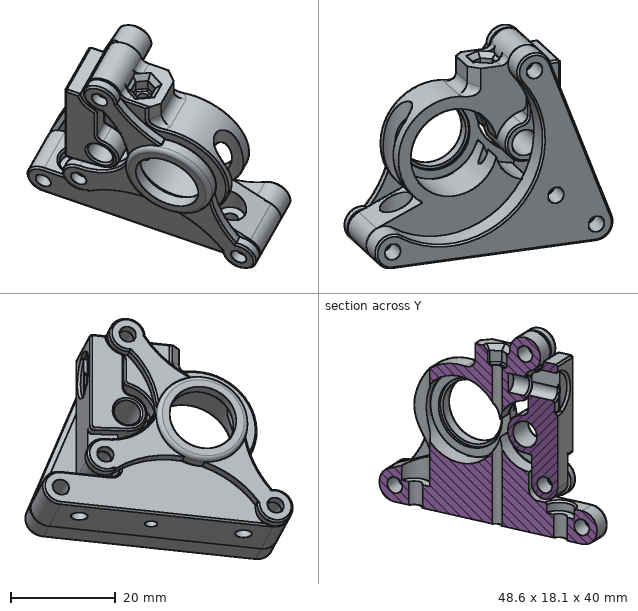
import cadquery as cq
import math

plate_thickness = 5.0
housing_depth = 10.05
arm_thickness = 2.0
collar_height = 1.0
arm_front = housing_depth + arm_thickness
edge_chamfer = 0.4

left_screw = (0, 0)
right_screw = (41.6, 0)
top_screw = (12.6, 33.0)
lever_pivot = (8.25, 7.0)
boss_diameter = 6.95
boss_radius = boss_diameter / 2
screw_hole = 3.2

shaft_axis = (27.15, 16.5)
idler_axis = (12.6, 16.5)

plate_bevel = 1.0
opening_radius = 18.75

ring_radius = 11.35
chamber_radius = 8.85
lever_wall_x = 11.7
lever_wall_fillet = 1.95
slope_angle = 23.0
slope_top_x = 33.0
block_left = 12.45
block_right = 23.7
block_top = 32.9
block_bevel = 2.05
block_fillet = 1.95
block_corner_round = 0.95
boss_neck_fillet = 1.7
boss_top_fillet = 1.7
clearance_center = (11.5, 16.2)
clearance_radius = 7.25

vertical_hole_y = -5.5
mount_hole_inset = 4.7
mount_counterbore = 6.2
counterbore_floor = 1.4
filament_x = 18.8
filament_hole = 2.4
nut_flats = 4.05
nut_mouth_flats = 6.15
nut_floor_flats = 3.35
nut_depth = 3.4

lever_left = 5.3
lever_right = 11.95
lever_top = 32.35
lever_back = 0.15
lever_step = 9.8
lever_corner_z = 12.0
lever_corner_round = 0.9
idler_lobe_radius = 3.9
idler_hole = 5.2
pivot_lobe_radius = 2.95
boss_clearance_radius = 4.2
lever_fillet = 1.45
lever_nose_round = 0.75

thumb_z = 26.35
thumb_y = -(lever_back + arm_front) / 2
thumb_recess = 8.2
thumb_recess_depth = 0.5
thumb_slot_width = 2.95
thumb_groove_depth = 0.2
spring_hole = 3.85
spring_hole_depth = 3.9

collar_radius = 8.95
collar_bore = 13.0
collar_round = 0.9
bearing_seat = 14.2
bearing_seat_depth = 0.7

arm_inner_corner = (18.45, 17.65)
collar_right = (35.8, 14.2)
collar_upper = (25.35, 25.35)
right_boss_left = (38.2, 0.5)
right_boss_upper = (41.15, 3.15)
top_boss_right = (16.05, 33.2)
top_boss_lower = (12.9, 29.7)
arm_bottom_angle = -58
outer_arm_radius = 21.85
lower_arm_radius = 19.9
top_arm_radius = 17.5


def offset(point, dx, dz):
    return (point[0] + dx, point[1] + dz)


def polar(center, radius, degrees):
    angle = math.radians(degrees)
    return offset(center, radius * math.cos(angle), radius * math.sin(angle))


def toward(start, end, distance):
    """Point at a distance from start on the line to end."""
    share = distance / math.dist(start, end)
    return offset(start, share * (end[0] - start[0]), share * (end[1] - start[1]))


def circle_z(center, radius, x):
    """Height of the upper half of a circle at x."""
    return center[1] + math.sqrt(radius**2 - (x - center[0]) ** 2)


def polygon(points, back, front):
    """Prism between two depths, from (x, z) corners."""
    return cq.Workplane("XZ", origin=(0, -back, 0)).polyline(points).close().extrude(front - back)


def box(x0, x1, z0, z1, back, front):
    return polygon([(x0, z0), (x1, z0), (x1, z1), (x0, z1)], back, front)


def disc(center, radius, back, front):
    plane = cq.Workplane("XZ", origin=(0, -back, 0))
    return plane.center(*center).circle(radius).extrude(front - back)


def drill(body, axes, diameter):
    """Cut holes parallel to Y through the whole depth."""
    for axis in axes:
        body = body.cut(disc(axis, diameter / 2, -plate_thickness, arm_front))
    return body


def rim_cone(center, inward, diameter, depth):
    """Cone that countersinks a hole rim at 45 degrees, down to the hole's diameter."""
    return cq.Solid.makeCone(diameter / 2 + depth, diameter / 2, depth, cq.Vector(*center), cq.Vector(*inward))


def edges_at(body, point, size=0.3):
    """Edges parallel to Y that stand at one (x, z) point."""
    x, z = point
    reach = 2 * arm_front
    corner_box = cq.selectors.BoxSelector((x - size, -reach, z - size), (x + size, reach, z + size))
    return body.edges("|Y").edges(corner_box)


def opening_center():
    """Center of the round opening, which touches the top and right bosses from outside."""
    (x0, z0), (x1, z1) = top_screw, right_screw
    chord = math.dist(top_screw, right_screw)
    height = math.sqrt((opening_radius + boss_radius) ** 2 - (chord / 2) ** 2)
    middle = ((x0 + x1) / 2, (z0 + z1) / 2)
    return offset(middle, (z0 - z1) / chord * height, (x1 - x0) / chord * height)


def make_back_plate():
    side_angle = math.degrees(math.atan2(top_screw[0], -top_screw[1]))
    side_low = polar(left_screw, boss_radius, side_angle)
    side_high = polar(top_screw, boss_radius, side_angle)
    plate = (
        cq.Workplane("XZ", origin=(0, plate_thickness, 0))
        .moveTo(*side_low)
        .lineTo(*side_high)
        .threePointArc(polar(top_screw, boss_radius, 60), toward(top_screw, opening_center(), boss_radius))
        .radiusArc(toward(right_screw, opening_center(), boss_radius), -opening_radius)
        .threePointArc(polar(right_screw, boss_radius, 0), polar(right_screw, boss_radius, -90))
        .lineTo(*polar(left_screw, boss_radius, -90))
        .threePointArc(polar(left_screw, boss_radius, -150), side_low)
        .close()
        .extrude(plate_thickness)
    )
    plate = plate.faces(">Y").edges().chamfer(edge_chamfer)

    section = cq.Plane(
        origin=(side_low[0], 0, side_low[1]),
        xDir=(-top_screw[1], 0, top_screw[0]),
        normal=(top_screw[0], 0, top_screw[1]),
    )
    overrun = 2 * boss_radius
    bevel = (
        cq.Workplane(section)
        .workplane(offset=-overrun)
        .polyline([(-plate_bevel, 0), (plate_bevel, 0), (plate_bevel, -2 * plate_bevel)])
        .close()
        .extrude(math.dist(left_screw, top_screw) + 2 * overrun)
    )
    plate = plate.cut(bevel)
    return drill(plate, (left_screw, right_screw, top_screw, lever_pivot), screw_hole)


def make_block():
    """Filament inlet block with its two right corners beveled."""
    block = box(block_left, block_right, idler_axis[1], block_top, 0, housing_depth)
    return block.edges("|Z and >X").chamfer(block_bevel)


def make_housing_blank():
    """Base bar, shaft ring, inlet block and bosses, before edges are rounded."""
    slope_start = polar(right_screw, boss_radius, 90 - slope_angle)
    rise = (slope_start[0] - slope_top_x) * math.tan(math.radians(slope_angle))
    slope_end = (slope_top_x, slope_start[1] + rise)
    wall_foot = (lever_wall_x, 0)
    wall_head = (lever_wall_x, shaft_axis[1])
    web = [wall_foot, right_screw, slope_start, slope_end, shaft_axis, wall_head]
    blank = box(left_screw[0], right_screw[0], -boss_radius, boss_radius, 0, housing_depth)
    blank = blank.union(polygon(web, 0, housing_depth))
    blank = blank.union(disc(shaft_axis, ring_radius, 0, housing_depth))
    blank = blank.union(make_block())
    for screw in (left_screw, right_screw, top_screw):
        blank = blank.union(disc(screw, boss_radius, 0, housing_depth))
    return blank.cut(disc(clearance_center, clearance_radius, 0, housing_depth)).clean()


def round_housing_corners(housing):
    boss_right = top_screw[0] + math.sqrt(boss_radius**2 - (block_top - top_screw[1]) ** 2)
    boss_underside = 2 * top_screw[1] - circle_z(top_screw, boss_radius, block_left)
    corner_fillets = [
        ((lever_wall_x, boss_radius), lever_wall_fillet),
        ((block_left, boss_underside), boss_neck_fillet),
        ((boss_right, block_top), boss_top_fillet),
        ((block_left, circle_z(clearance_center, clearance_radius, block_left)), block_corner_round),
    ]
    for point, radius in corner_fillets:
        housing = edges_at(housing, point).fillet(radius)

    margin = 0.2
    bevel_start = block_right - block_bevel
    seam_height = circle_z(shaft_axis, ring_radius, block_right)
    seam = cq.selectors.BoxSelector(
        (bevel_start - margin, -housing_depth - margin, seam_height - block_bevel / 2),
        (block_right + margin, margin, seam_height + block_bevel / 2),
    )
    return housing.edges(seam).fillet(block_fillet)


def hexagon(flats, z):
    plane = cq.Workplane("XY", origin=(filament_x, vertical_hole_y, z))
    return plane.transformed(rotate=(0, 0, 90)).polygon(6, flats / math.cos(math.pi / 6))


def hexagon_taper(low_flats, high_flats, low_z, high_z):
    taper = hexagon(low_flats, low_z).workplane(offset=high_z - low_z)
    return taper.polygon(6, high_flats / math.cos(math.pi / 6)).loft()


def make_nut_pocket():
    """Hexagonal pocket with a wide tapered mouth and a tapered floor, kept clear of the top boss."""
    mouth_z = block_top - (nut_mouth_flats - nut_flats) / 2
    seat_z = block_top - nut_depth
    floor_z = seat_z - (nut_flats - nut_floor_flats) / 2
    pocket = hexagon(nut_flats, seat_z).extrude(mouth_z - seat_z)
    pocket = pocket.union(hexagon_taper(nut_flats, nut_mouth_flats, mouth_z, block_top))
    pocket = pocket.union(hexagon_taper(nut_floor_flats, nut_flats, floor_z, seat_z))
    pocket = pocket.union(hexagon(nut_mouth_flats, block_top).extrude(boss_radius))
    return pocket.cut(disc(top_screw, boss_radius, 0, housing_depth))


def cut_vertical_holes(housing):
    """Two counterbored mounting holes and the filament hole with its nut pocket."""
    bottom = -boss_radius
    height = block_top - bottom
    plane = cq.Workplane("XY", origin=(0, vertical_hole_y, bottom))
    for x in (mount_hole_inset, right_screw[0] - mount_hole_inset):
        housing = housing.cut(plane.center(x, 0).circle(screw_hole / 2).extrude(2 * boss_radius))
        seat = plane.workplane(offset=counterbore_floor - bottom).center(x, 0)
        housing = housing.cut(seat.circle(mount_counterbore / 2).extrude(height))
    left_rim = (mount_hole_inset, vertical_hole_y, boss_radius)
    housing = housing.cut(rim_cone(left_rim, (0, 0, -1), mount_counterbore, edge_chamfer))

    housing = housing.cut(plane.center(filament_x, 0).circle(filament_hole / 2).extrude(height))
    return housing.cut(make_nut_pocket())


def make_housing():
    housing = round_housing_corners(make_housing_blank())
    housing = housing.faces("<Y").edges().chamfer(edge_chamfer)
    housing = housing.cut(disc(shaft_axis, chamber_radius, 0, housing_depth))
    housing = cut_vertical_holes(housing)

    spring_mouth = (block_left, thumb_y, thumb_z)
    spring = cq.Workplane("YZ", origin=spring_mouth).circle(spring_hole / 2).extrude(spring_hole_depth)
    housing = housing.cut(spring)
    housing = housing.cut(rim_cone(spring_mouth, (1, 0, 0), spring_hole, edge_chamfer))
    return drill(housing, (left_screw, right_screw, top_screw), screw_hole)


def make_lever_profile(back, front):
    """Upright bar with the idler lobe at its right and a notch around the top boss."""
    corner = (lever_left, lever_corner_z)
    lobe_bottom = offset(idler_axis, 0, -idler_lobe_radius)
    outline = [corner, lobe_bottom, idler_axis, (lever_right, idler_axis[1]), (lever_right, lever_top)]
    bar = polygon(outline + [(lever_left, lever_top)], back, front)
    bar = bar.union(disc(idler_axis, idler_lobe_radius, back, front))
    return bar.cut(disc(top_screw, boss_clearance_radius, back, front))


def cut_thumb_screw(lever):
    """Round recess with a shallow groove, and a screw hole that opens upward into a slot."""
    recess_center = (lever_left, thumb_y, thumb_z)
    width = lever_right - lever_left
    floor_depth = thumb_recess_depth + thumb_groove_depth
    face = cq.Workplane("YZ", origin=recess_center)
    lever = lever.cut(rim_cone(recess_center, (1, 0, 0), thumb_recess, thumb_recess_depth))
    lever = lever.cut(face.rect(thumb_slot_width, thumb_recess).extrude(floor_depth))
    lever = lever.cut(face.circle(screw_hole / 2).extrude(width))
    slot = face.center(0, thumb_recess / 4).rect(thumb_slot_width, thumb_recess / 2)
    lever = lever.cut(slot.extrude(width))
    hole_rim = (lever_left + floor_depth, thumb_y, thumb_z)
    return lever.cut(rim_cone(hole_rim, (1, 0, 0), screw_hole, edge_chamfer))


def make_lever():
    lever = make_lever_profile(lever_back, arm_front)
    lever = edges_at(lever, (lever_left, lever_corner_z)).fillet(lever_corner_round)
    neck = (lever_right, circle_z(idler_axis, idler_lobe_radius, lever_right))
    nose_drop = math.sqrt(boss_clearance_radius**2 - (lever_right - top_screw[0]) ** 2)
    nose = (lever_right, top_screw[1] - nose_drop)
    lever = edges_at(lever, (lever_left, lever_top)).chamfer(edge_chamfer)
    lever = edges_at(lever, neck).fillet(lever_fillet)
    lever = edges_at(lever, nose).fillet(lever_nose_round)
    lever = lever.faces("<Y").edges().chamfer(edge_chamfer)

    foot_right = lever_pivot[0] + pivot_lobe_radius
    foot = box(lever_left, foot_right, lever_pivot[1], idler_axis[1], lever_back, lever_step)
    foot = foot.union(disc(lever_pivot, pivot_lobe_radius, lever_back, lever_step))
    lever = lever.union(foot).faces(">Y").edges().chamfer(edge_chamfer)

    lever = drill(lever, [lever_pivot], screw_hole)
    lever = drill(lever, [idler_axis], idler_hole)
    idler_rim = (idler_axis[0], -arm_front, idler_axis[1])
    lever = lever.cut(rim_cone(idler_rim, (0, 1, 0), idler_hole, edge_chamfer))
    return cut_thumb_screw(lever)


def make_arm_web():
    """Three concave-sided arms, with the lever pivot boss as part of the outline."""
    return (
        cq.Workplane("XZ", origin=(0, -housing_depth, 0))
        .moveTo(*top_screw)
        .lineTo(*top_boss_right)
        .radiusArc(collar_upper, -outer_arm_radius)
        .lineTo(*collar_right)
        .radiusArc(right_boss_upper, -outer_arm_radius)
        .lineTo(*right_screw)
        .lineTo(*right_boss_left)
        .radiusArc(polar(lever_pivot, boss_radius, arm_bottom_angle), -lower_arm_radius)
        .threePointArc(polar(lever_pivot, boss_radius, 180), polar(lever_pivot, boss_radius, 90))
        .tangentArcPoint(arm_inner_corner, relative=False)
        .radiusArc(top_boss_lower, -top_arm_radius)
        .close()
        .extrude(arm_thickness)
    )


def make_front_arm():
    """Three-armed plate with a collar around the shaft and a bearing seat behind it."""
    arm = make_arm_web()
    for screw in (right_screw, top_screw):
        arm = arm.union(disc(screw, boss_radius, housing_depth, arm_front))

    collar_front = arm_front + collar_height
    lower_arc = cq.selectors.BoxSelector(
        (lever_pivot[0] + boss_radius, -collar_front, 0),
        (collar_right[0], 0, lever_pivot[1] + boss_radius),
    )
    front_edges = arm.clean().faces("<Y").edges(cq.selectors.InverseSelector(lower_arc))
    arm = front_edges.chamfer(edge_chamfer)

    collar = disc(shaft_axis, collar_radius, housing_depth, collar_front)
    arm = arm.union(collar.faces("<Y").edges().fillet(collar_round))
    arm = drill(arm, (lever_pivot, right_screw, top_screw), screw_hole)
    arm = arm.cut(disc(shaft_axis, collar_bore / 2, housing_depth, collar_front))
    return arm.cut(disc(shaft_axis, bearing_seat / 2, housing_depth, housing_depth + bearing_seat_depth))


back_plate = make_back_plate()
housing = make_housing()
lever = make_lever()
front_arm = make_front_arm()

result = cq.Compound.makeCompound([back_plate.val(), housing.val(), lever.val(), front_arm.val()])